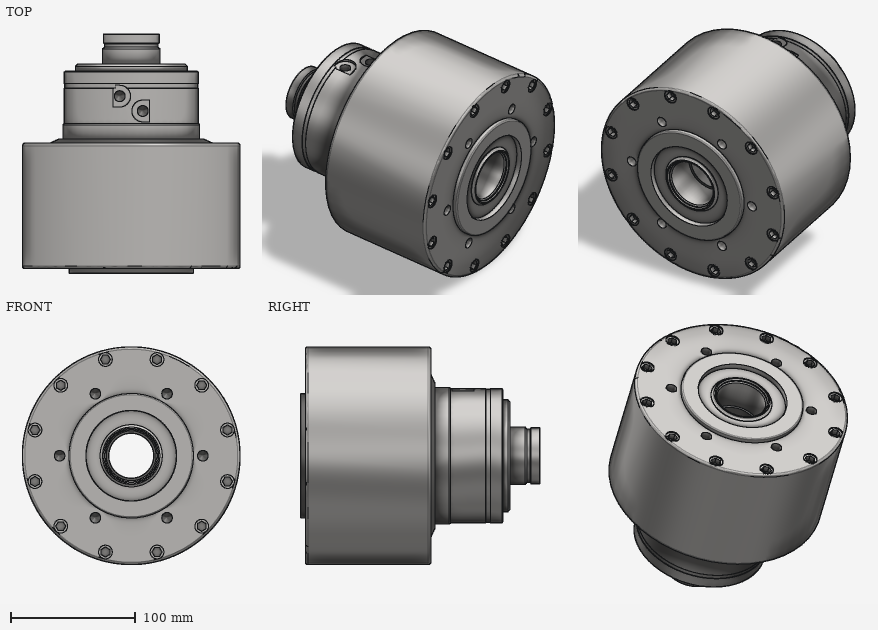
import cadquery as cq
import math

TOTAL_LENGTH = 192.5
BODY_FRONT = 4.0
BODY_REAR = 105.0
SHOULDER_REAR = 108.2
STEP_REAR = 119.5
STEP_CHAMFER_REAR = 120.7
RING_REAR = 148.7
RING_GROOVE_REAR = 152.5
COLLAR_REAR = 162.75
FLANGE_REAR = 168.5

BOSS_RADIUS = 50.0
BODY_RADIUS = 87.5
CONE_BASE_RADIUS = 65.0
CONE_TOP_RADIUS = 58.0
STEP_RADIUS = 55.0
RING_RADIUS = 54.0
RING_GROOVE_RADIUS = 53.5
FLANGE_RADIUS = 45.0
STUB_RADIUS = 23.25
STUB_END_RADIUS = 22.5
STUB_GROOVE_RADIUS = 21.5

BOSS_FILLET = 1.0
BODY_FRONT_FILLET = 2.0
BODY_REAR_FILLET = 2.5
COLLAR_CHAMFER = 1.0
FLANGE_CHAMFER = 2.0
STUB_CHAMFER = 0.5

STUB_GROOVE_FRONT = 181.8
STUB_GROOVE_REAR = 184.3
STUB_TAPER_LENGTH = 1.3
STUB_END_TAPER = STUB_END_RADIUS - STUB_GROOVE_RADIUS

RECESS_RADIUS = 36.5
RECESS_FLOOR_RADIUS = 36.25
RECESS_DEPTH = 4.5
TUBE_RADIUS = 25.0
TUBE_PROUD = 2.5
TUBE_FILLET = 2.0

MOUTH_RADIUS = 21.0
MOUTH_CHAMFER = 1.0
MOUTH_DEPTH = 3.0
FRONT_BORE_RADIUS = 20.0
FRONT_BORE_END = 30.5
BORE_RADIUS = 18.0

SCREW_COUNT = 12
SCREW_CIRCLE_RADIUS = 80.0
SCREW_HEAD_DIAMETER = 11.0
SCREW_HEAD_SINK = 1.0
SOCKET_ACROSS_FLATS = 7.0
SOCKET_DEPTH = 6.0
SOCKET_TURN = -15.0

MOUNT_HOLE_COUNT = 6
MOUNT_CIRCLE_RADIUS = 57.5
MOUNT_HOLE_DIAMETER = 8.5
MOUNT_HOLE_DEPTH = 16.0
DRILL_POINT_ANGLE = 118.0

PORT_SEAT_HEIGHT = 52.0
PORT_SEAT_RADIUS = 8.75
PORT_HOLE_DIAMETER = 8.75
PORT_HOLE_DEPTH = 12.0
PORT_OFFSET = 9.25
PORT_REAR_Y = 142.5
PORT_FRONT_Y = 130.6


def turned_body():
    """Solid of revolution about Y: boss, drum, ring, collar, flange and stub."""
    taper = RING_RADIUS - RING_GROOVE_RADIUS
    profile = (
        cq.Workplane("XY")
        .moveTo(0, 0)
        .lineTo(BOSS_RADIUS - BOSS_FILLET, 0)
        .radiusArc((BOSS_RADIUS, BOSS_FILLET), -BOSS_FILLET)
        .lineTo(BOSS_RADIUS, BODY_FRONT)
        .lineTo(BODY_RADIUS - BODY_FRONT_FILLET, BODY_FRONT)
        .radiusArc((BODY_RADIUS, BODY_FRONT + BODY_FRONT_FILLET), -BODY_FRONT_FILLET)
        .lineTo(BODY_RADIUS, BODY_REAR - BODY_REAR_FILLET)
        .radiusArc((BODY_RADIUS - BODY_REAR_FILLET, BODY_REAR), -BODY_REAR_FILLET)
        .lineTo(CONE_BASE_RADIUS, BODY_REAR)
        .lineTo(CONE_TOP_RADIUS, SHOULDER_REAR)
        .lineTo(STEP_RADIUS, SHOULDER_REAR)
        .lineTo(STEP_RADIUS, STEP_REAR)
        .lineTo(RING_RADIUS, STEP_CHAMFER_REAR)
        .lineTo(RING_RADIUS, RING_REAR)
        .lineTo(RING_GROOVE_RADIUS, RING_REAR + taper)
        .lineTo(RING_GROOVE_RADIUS, RING_GROOVE_REAR)
        .lineTo(RING_RADIUS, RING_GROOVE_REAR)
        .lineTo(RING_RADIUS, COLLAR_REAR - COLLAR_CHAMFER)
        .lineTo(RING_RADIUS - COLLAR_CHAMFER, COLLAR_REAR)
        .lineTo(FLANGE_RADIUS, COLLAR_REAR)
        .lineTo(FLANGE_RADIUS, FLANGE_REAR - FLANGE_CHAMFER)
        .lineTo(FLANGE_RADIUS - FLANGE_CHAMFER, FLANGE_REAR)
        .lineTo(STUB_RADIUS, FLANGE_REAR)
        .lineTo(STUB_RADIUS, STUB_GROOVE_FRONT - STUB_TAPER_LENGTH)
        .lineTo(STUB_GROOVE_RADIUS, STUB_GROOVE_FRONT)
        .lineTo(STUB_GROOVE_RADIUS, STUB_GROOVE_REAR)
        .lineTo(STUB_END_RADIUS, STUB_GROOVE_REAR + STUB_END_TAPER)
        .lineTo(STUB_END_RADIUS, TOTAL_LENGTH - STUB_CHAMFER)
        .lineTo(STUB_END_RADIUS - STUB_CHAMFER, TOTAL_LENGTH)
        .lineTo(0, TOTAL_LENGTH)
        .close()
    )
    return profile.revolve(360, (0, 0, 0), (0, 1, 0))


def front_recess():
    """Annular recess around the rounded tube end, together with the stepped through bore."""
    tube_front = RECESS_DEPTH - TUBE_PROUD
    mouth_end = tube_front + MOUTH_DEPTH
    mouth_step = MOUTH_RADIUS - FRONT_BORE_RADIUS
    profile = (
        cq.Workplane("XY")
        .moveTo(0, 0)
        .lineTo(RECESS_RADIUS, 0)
        .lineTo(RECESS_FLOOR_RADIUS, RECESS_DEPTH)
        .lineTo(TUBE_RADIUS, RECESS_DEPTH)
        .lineTo(TUBE_RADIUS, tube_front + TUBE_FILLET)
        .radiusArc((TUBE_RADIUS - TUBE_FILLET, tube_front), -TUBE_FILLET)
        .lineTo(MOUTH_RADIUS + MOUTH_CHAMFER, tube_front)
        .lineTo(MOUTH_RADIUS, tube_front + MOUTH_CHAMFER)
        .lineTo(MOUTH_RADIUS, mouth_end - mouth_step)
        .lineTo(FRONT_BORE_RADIUS, mouth_end)
        .lineTo(FRONT_BORE_RADIUS, FRONT_BORE_END)
        .lineTo(BORE_RADIUS, FRONT_BORE_END)
        .lineTo(BORE_RADIUS, TOTAL_LENGTH)
        .lineTo(0, TOTAL_LENGTH)
        .close()
    )
    return profile.revolve(360, (0, 0, 0), (0, 1, 0))


def drilled_hole(diameter, depth):
    """Blind drill shape along +Z from the origin, ending in a conical point."""
    radius = diameter / 2
    point_length = radius / math.tan(math.radians(DRILL_POINT_ANGLE / 2))
    profile = (
        cq.Workplane("XZ")
        .moveTo(0, 0)
        .lineTo(radius, 0)
        .lineTo(radius, depth)
        .lineTo(0, depth + point_length)
        .close()
    )
    return profile.revolve(360, (0, 0, 0), (0, 1, 0))


def screw_recess():
    """Sunk screw head with its hexagon socket, cut along +Z from the origin."""
    across_corners = SOCKET_ACROSS_FLATS / math.cos(math.radians(30))
    head = cq.Workplane("XY").circle(SCREW_HEAD_DIAMETER / 2).extrude(SCREW_HEAD_SINK)
    socket = cq.Workplane("XY").polygon(6, across_corners).extrude(SOCKET_DEPTH)
    socket = socket.rotate((0, 0, 0), (0, 0, 1), SOCKET_TURN)
    return head.union(socket)


def on_front_face(cutter, circle_radius, angle):
    """Turn a +Z cutter to point along +Y and swing it round a circle of the drum's front face."""
    upright = cutter.rotate((0, 0, 0), (1, 0, 0), -90).translate((circle_radius, BODY_FRONT, 0))
    return upright.rotate((0, 0, 0), (0, 1, 0), -angle)


def port(side, y):
    """Flat seat rounded towards the centre and open outwards (side = -1 or +1), with its hole."""
    x = side * PORT_OFFSET
    seat_plane = cq.Workplane("XY", origin=(x, y, PORT_SEAT_HEIGHT))
    seat_height = STEP_RADIUS - PORT_SEAT_HEIGHT
    seat = seat_plane.circle(PORT_SEAT_RADIUS).extrude(seat_height)
    open_side = (
        seat_plane.center(side * PORT_SEAT_RADIUS, 0)
        .rect(2 * PORT_SEAT_RADIUS, 2 * PORT_SEAT_RADIUS)
        .extrude(seat_height)
    )
    hole = drilled_hole(PORT_HOLE_DIAMETER, PORT_HOLE_DEPTH).rotate((0, 0, 0), (1, 0, 0), 180)
    return seat.union(open_side).union(hole.translate((x, y, PORT_SEAT_HEIGHT)))


result = turned_body().cut(front_recess())

for i in range(SCREW_COUNT):
    angle = (i + 0.5) * 360 / SCREW_COUNT
    result = result.cut(on_front_face(screw_recess(), SCREW_CIRCLE_RADIUS, angle))

for i in range(MOUNT_HOLE_COUNT):
    angle = i * 360 / MOUNT_HOLE_COUNT
    mount_hole = drilled_hole(MOUNT_HOLE_DIAMETER, MOUNT_HOLE_DEPTH)
    result = result.cut(on_front_face(mount_hole, MOUNT_CIRCLE_RADIUS, angle))

result = result.cut(port(-1, PORT_REAR_Y))
result = result.cut(port(1, PORT_FRONT_Y))